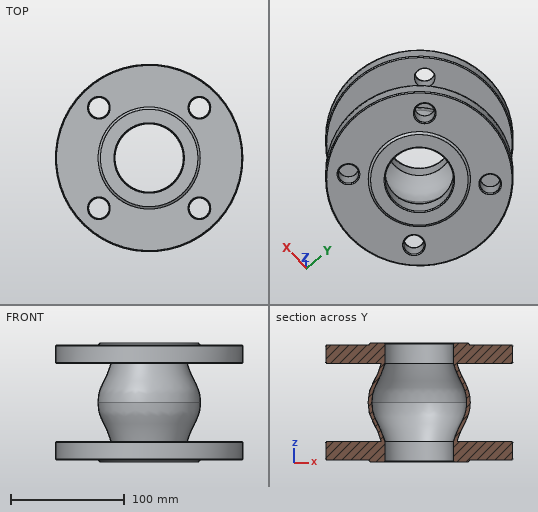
import cadquery as cq
import math

flange_diameter = 165.0
overall_height = 105.0
half_height = overall_height / 2

flange_thickness = 16.5
raised_face_height = 1.8
raised_face_base_diameter = 90.0
raised_face_top_diameter = 85.8
edge_chamfer = 1.0

bore_diameter = 60.0
bolt_hole_diameter = 18.0
bolt_circle_diameter = 125.0
bolt_count = 4

bulge_diameter = 90.5
waist_diameter = 67.3
shoulder_diameter = 75.5
shoulder_height = 23.3
waist_slope = 15.0

flange_outer_z = half_height - raised_face_height
flange_inner_z = flange_outer_z - flange_thickness
wall_thickness = (waist_diameter - bore_diameter) / 2
waist_direction = (-math.sin(math.radians(waist_slope)), math.cos(math.radians(waist_slope)))


def bellows_solid(inset):
    """Upper half of the bellows, with its radius reduced by inset, as a solid of revolution."""
    bulge = (bulge_diameter / 2 - inset, 0)
    shoulder = (shoulder_diameter / 2 - inset, shoulder_height)
    waist = (waist_diameter / 2 - inset, flange_inner_z)
    return (
        cq.Workplane("XZ")
        .lineTo(*bulge)
        .spline([shoulder, waist], tangents=[(0, 1), waist_direction], includeCurrent=True)
        .lineTo(0, flange_inner_z)
        .close()
        .revolve(360, (0, 0), (0, 1))
    )


def chamfered_hole_cutter(diameter):
    """Hole through the flange, with the mouth chamfer starting at z = 0."""
    radius = diameter / 2
    return (
        cq.Workplane("XZ")
        .lineTo(radius + edge_chamfer, 0)
        .lineTo(radius, -edge_chamfer)
        .lineTo(radius, -flange_thickness - raised_face_height)
        .lineTo(0, -flange_thickness - raised_face_height)
        .close()
        .revolve(360, (0, 0), (0, 1))
    )


def upper_flange():
    disc = (
        cq.Workplane("XY")
        .workplane(offset=flange_inner_z)
        .circle(flange_diameter / 2)
        .extrude(flange_thickness)
        .edges()
        .chamfer(edge_chamfer)
    )
    raised_face = cq.Workplane(
        cq.Solid.makeCone(
            raised_face_base_diameter / 2,
            raised_face_top_diameter / 2,
            raised_face_height,
            pnt=cq.Vector(0, 0, flange_outer_z),
        )
    )
    flange = disc.union(raised_face)
    flange = flange.cut(chamfered_hole_cutter(bore_diameter).translate((0, 0, half_height)))

    bolt_hole = chamfered_hole_cutter(bolt_hole_diameter)
    bolt_hole = bolt_hole.translate((bolt_circle_diameter / 2, 0, flange_outer_z))
    for index in range(bolt_count):
        angle = (index + 0.5) * 360 / bolt_count
        flange = flange.cut(bolt_hole.rotate((0, 0, 0), (0, 0, 1), angle))
    return flange


bellows = bellows_solid(0).cut(bellows_solid(wall_thickness))
upper_half = upper_flange().union(bellows)
result = upper_half.union(upper_half.mirror("XY"))